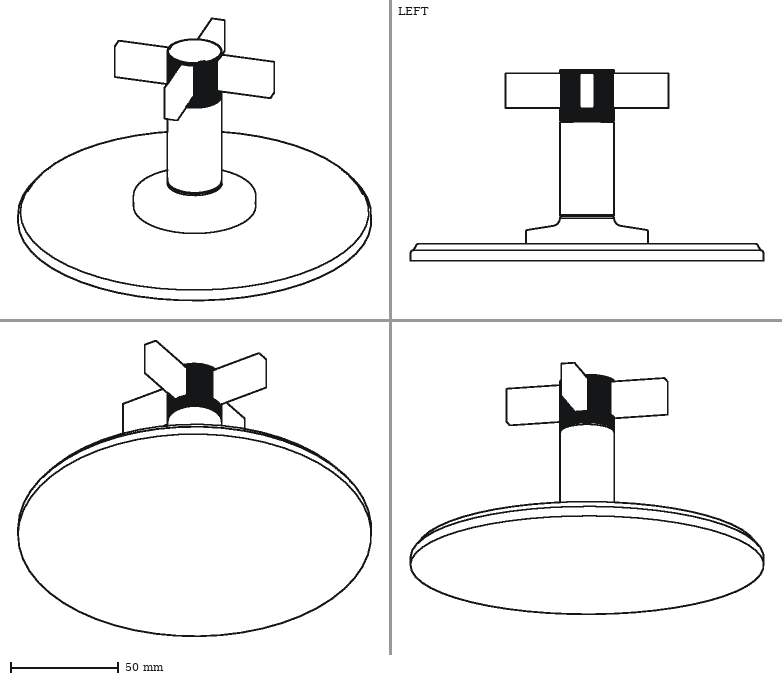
import cadquery as cq
import math

plate_radius = 82.5
plate_height = 8.1
plate_top_radius = 78.5
round_end = (79.9, 7.1)
cove_end = (81.4, 5.0)
rim_height = 3.5
rim_round = 1.5

flange_radius = 28.5
flange_wall_top = 13.5
flange_round = 1.0
cone_slope = math.radians(9)
flare_radius = 3.6

stem_radius = 12.7
joint_height = 1.5
joint_depth = 0.3
stem_top = 64.9
stem_edge_round = 0.5
neck_radius = 6.5

hub_bottom = 65.7
hub_top = 89.3
flute_count = 150
flute_depth = 0.3
hub_chamfer_height = 0.3
hub_chamfer_width = 1.0

arm_span = 76.3
arm_width = 6.6
arm_bottom = 71.3
arm_top = 87.7
arm_edge_round = 0.5


def make_plate():
    """Round plate whose rim steps down through a round, a cove and a second round."""
    profile = (
        cq.Workplane("XZ")
        .lineTo(0, plate_height)
        .lineTo(plate_top_radius, plate_height)
        .tangentArcPoint(round_end, relative=False)
        .tangentArcPoint(cove_end, relative=False)
        .radiusArc((plate_radius, rim_height), rim_round)
        .lineTo(plate_radius, 0)
        .close()
    )
    return profile.revolve(360, (0, 0, 0), (0, 1, 0))


def make_column():
    """Flange, flare, stem and neck as one turned body."""
    cone_low_radius = flange_radius - flange_round * (1 - math.sin(cone_slope))
    cone_low_height = flange_wall_top + flange_round * math.cos(cone_slope)
    cone_high_radius = stem_radius + flare_radius * (1 - math.sin(cone_slope))
    cone_high_height = cone_low_height + (cone_low_radius - cone_high_radius) * math.tan(cone_slope)
    flare_top = cone_high_height + flare_radius * math.cos(cone_slope)
    stem_bottom = flare_top + joint_height
    profile = (
        cq.Workplane("XZ")
        .lineTo(flange_radius, 0)
        .lineTo(flange_radius, flange_wall_top)
        .tangentArcPoint((cone_low_radius, cone_low_height), relative=False)
        .lineTo(cone_high_radius, cone_high_height)
        .tangentArcPoint((stem_radius, flare_top), relative=False)
        .lineTo(stem_radius - joint_depth, flare_top + joint_height / 2)
        .lineTo(stem_radius, stem_bottom)
        .lineTo(stem_radius, stem_top - stem_edge_round)
        .tangentArcPoint((stem_radius - stem_edge_round, stem_top), relative=False)
        .lineTo(neck_radius, stem_top)
        .lineTo(neck_radius, hub_bottom)
        .lineTo(0, hub_bottom)
        .close()
    )
    return profile.revolve(360, (0, 0, 0), (0, 1, 0))


def make_hub():
    """Cylinder with fine V flutes along its full height and a shallow chamfer around the top."""
    hub_height = hub_top - hub_bottom
    outline = []
    for i in range(2 * flute_count):
        angle = math.pi * i / flute_count
        radius = stem_radius - flute_depth * (i % 2)
        outline.append((radius * math.cos(angle), radius * math.sin(angle)))
    base = cq.Workplane("XY").workplane(offset=hub_bottom)
    fluted_bar = base.polyline(outline).close().extrude(hub_height)
    chamfered_bar = (
        base.circle(stem_radius)
        .extrude(hub_height)
        .faces(">Z")
        .chamfer(hub_chamfer_height, hub_chamfer_width)
    )
    return fluted_bar.intersect(chamfered_bar)


def make_arm_bar():
    """Rectangular bar through the hub along X, with lightly rounded edges."""
    arm_height = arm_top - arm_bottom
    bar = cq.Workplane("XY").box(arm_span, arm_width, arm_height).edges().fillet(arm_edge_round)
    return bar.translate((0, 0, arm_bottom + arm_height / 2))


arm_bar = make_arm_bar()
result = (
    make_plate()
    .union(make_column())
    .union(make_hub())
    .union(arm_bar)
    .union(arm_bar.rotate((0, 0, 0), (0, 0, 1), 90))
)